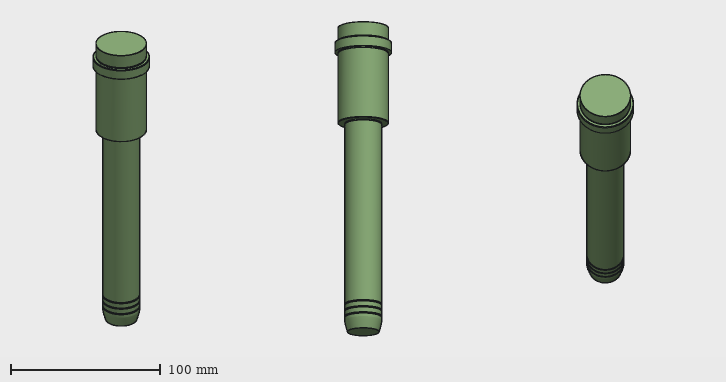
import cadquery as cq

total_length = 210.0
cap_length = 10.0
collar_length = 7.0
sleeve_end_depth = 66.0
tip_length = 7.5
tip_arc_height = 4.6

collar_radius = 19.0
body_radius = 17.0
shank_radius = 12.5
tip_arc_radius = 12.0
tip_radius = 10.7

end_chamfer = 0.2
collar_chamfer = 0.5
sleeve_chamfer = 0.5
relief_width = 0.8
relief_depth = 0.2

groove_half_width = 0.5
groove_depth = 0.25
groove_pitch = 4.2
groove_count = 3
first_groove_height = 10.3

collar_top = total_length - cap_length
collar_bottom = collar_top - collar_length
sleeve_bottom = total_length - sleeve_end_depth


def stepped_pin():
    """Revolve the half profile of the pin about the Z axis."""
    return (
        cq.Workplane("XZ")
        .lineTo(tip_radius - end_chamfer, 0)
        .lineTo(tip_radius, end_chamfer)
        .threePointArc((tip_arc_radius, tip_arc_height), (shank_radius, tip_length))
        .lineTo(shank_radius, sleeve_bottom)
        .lineTo(body_radius - sleeve_chamfer, sleeve_bottom)
        .lineTo(body_radius, sleeve_bottom + sleeve_chamfer)
        .lineTo(body_radius, collar_bottom)
        .lineTo(collar_radius, collar_bottom)
        .lineTo(collar_radius, collar_top - collar_chamfer)
        .lineTo(collar_radius - collar_chamfer, collar_top)
        .lineTo(body_radius, collar_top)
        .lineTo(body_radius, total_length - end_chamfer)
        .lineTo(body_radius - end_chamfer, total_length)
        .lineTo(0, total_length)
        .close()
        .revolve(360, (0, 0, 0), (0, 1, 0))
    )


def vee_groove_cutter(center_height):
    """Ring that cuts a shallow V groove into the shank."""
    return (
        cq.Workplane("XZ")
        .center(shank_radius, center_height)
        .moveTo(-groove_depth, 0)
        .lineTo(0, groove_half_width)
        .lineTo(groove_depth, 0)
        .lineTo(0, -groove_half_width)
        .close()
        .revolve(360, (-shank_radius, 0, 0), (-shank_radius, 1, 0))
    )


def ring_cutter(outer_radius, depth, bottom, width):
    """Ring that cuts a groove of the given depth into a cylinder."""
    return (
        cq.Workplane("XY")
        .workplane(offset=bottom)
        .circle(outer_radius)
        .circle(outer_radius - depth)
        .extrude(width)
    )


result = stepped_pin()

for relief_bottom in (collar_top, collar_bottom - relief_width):
    result = result.cut(ring_cutter(body_radius, relief_depth, relief_bottom, relief_width))

result = result.cut(ring_cutter(shank_radius, relief_depth, sleeve_bottom - relief_width, relief_width))

for index in range(groove_count):
    result = result.cut(vee_groove_cutter(first_groove_height + index * groove_pitch))